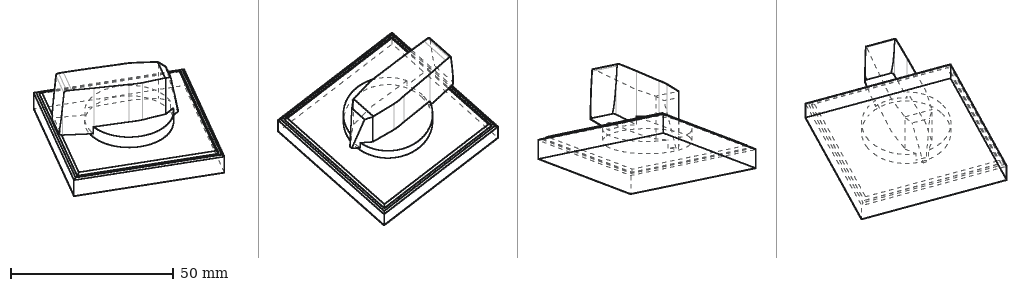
import cadquery as cq

base_side = 48.0
base_height = 6.5
base_bevel_width = 0.65
base_bevel_drop = 0.4

cover_side = 45.2
cover_thickness = 0.8
cover_bevel_width = 0.65
cover_bevel_drop = 0.7
cover_top = base_height + cover_thickness

boss_radius = 13.8
boss_height = 3.95

tip_y = 15.65
tip_half_width = 0.45
shoulder_y = 10.55
shoulder_half_width = 4.4
belly_front_y = 2.8
belly_rear_y = -1.5
belly_end_half_width = 5.5
belly_half_width = 5.6
waist_y = -12.7
waist_half_width = 5.25
tail_y = -23.45
tail_half_width = 4.75
tail_corner_radius = 0.9

total_height = 26.2
tip_bottom = 8.55
nose_y = 12.55
nose_z = 23.75
bevel_y = 10.3
bevel_z = 24.95
crest_y = -19.7
tail_top_y = -22.0
tail_top_radius = 0.85
tail_bottom = 9.75
waist_bottom = 8.65


def make_bevelled_plate(side, height, bevel_width, bevel_drop, bottom):
    """Square plate whose top edge is bevelled all round."""
    plate = cq.Workplane("XY").workplane(offset=bottom).rect(side, side).extrude(height)
    return plate.faces(">Z").chamfer(bevel_drop, bevel_width)


def make_grip_plan():
    """Pointed grip outline with bulged sides, extruded to the full height."""
    belly_middle_y = (belly_front_y + belly_rear_y) / 2
    outline = (
        cq.Workplane("XY")
        .moveTo(-tip_half_width, tip_y)
        .lineTo(tip_half_width, tip_y)
        .lineTo(shoulder_half_width, shoulder_y)
        .lineTo(belly_end_half_width, belly_front_y)
        .threePointArc((belly_half_width, belly_middle_y), (belly_end_half_width, belly_rear_y))
        .lineTo(waist_half_width, waist_y)
        .lineTo(tail_half_width, tail_y)
        .lineTo(-tail_half_width, tail_y)
        .lineTo(-waist_half_width, waist_y)
        .lineTo(-belly_end_half_width, belly_rear_y)
        .threePointArc((-belly_half_width, belly_middle_y), (-belly_end_half_width, belly_front_y))
        .lineTo(-shoulder_half_width, shoulder_y)
        .close()
    )
    plan = outline.extrude(total_height)
    return plan.edges("|Z and <Y").fillet(tail_corner_radius)


def make_grip_profile():
    """Side outline of the grip, extruded across its whole width."""
    profile = (
        cq.Workplane("YZ")
        .moveTo(tip_y, tip_bottom)
        .lineTo(nose_y, nose_z)
        .lineTo(bevel_y, bevel_z)
        .lineTo(crest_y, total_height)
        .lineTo(tail_top_y, total_height)
        .lineTo(tail_y, tail_bottom)
        .lineTo(waist_y, waist_bottom)
        .lineTo(waist_y, tip_bottom)
        .close()
        .extrude(belly_half_width, both=True)
    )
    tail_top_edge = cq.selectors.NearestToPointSelector((0, tail_top_y, total_height))
    return profile.edges(tail_top_edge).fillet(tail_top_radius)


def make_knob():
    """Grip and round boss in one piece, standing on the cover plate."""
    grip = make_grip_plan().intersect(make_grip_profile())
    boss = cq.Workplane("XY").workplane(offset=cover_top).circle(boss_radius).extrude(boss_height)
    return boss.union(grip)


base = make_bevelled_plate(base_side, base_height, base_bevel_width, base_bevel_drop, 0)
cover = make_bevelled_plate(cover_side, cover_thickness, cover_bevel_width, cover_bevel_drop, base_height)
knob = make_knob()

result = cq.Compound.makeCompound([base.val(), cover.val(), knob.val()])